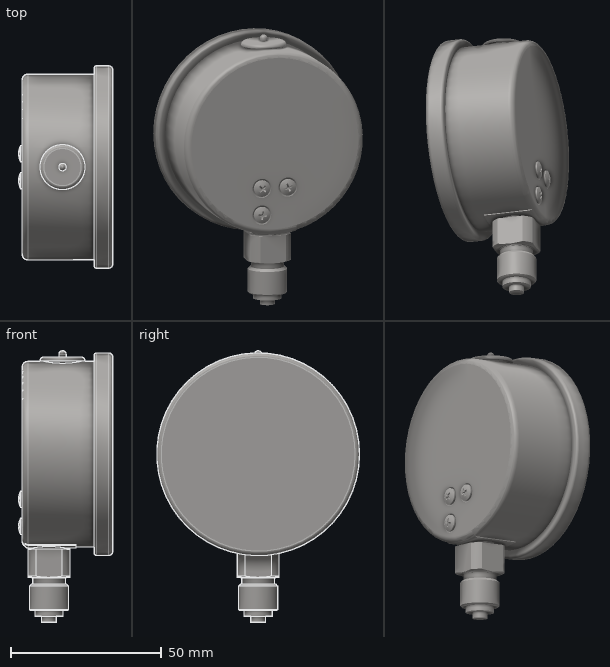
import cadquery as cq


case_radius = 62.0 / 2
back_rounding = 2.0
overall_depth = 30.3
bezel_radius = 67.6 / 2
bezel_width = 6.3
bezel_back_rounding = 0.9
bezel_front_rounding = 1.5
bezel_start = overall_depth - bezel_width

plug_x = 13.5
plug_radius = 15.0 / 2
plug_neck_radius = 13.16 / 2
plug_bottom_z = 31.0
plug_top_z = 32.45
plug_rounding = 1.3
pin_radius = 2.5 / 2
pin_tip_z = 34.5
pin_dome_height = 1.2

stem_x = 9.0
stem_neck_radius = 11.7 / 2
neck_top_z = -28.0
flats_width = 14.0
flats_corner_radius = 16.5 / 2
flats_top_z = -31.6
flats_bottom_z = -41.0
flats_chamfer_height = 0.4
shoulder_radius = 11.4 / 2
shoulder_height = 0.2
undercut_radius = 11.0 / 2
thread_radius = 13.16 / 2
thread_top_z = -43.15
thread_top_chamfer = 0.8
thread_bottom_z = -52.1
thread_bottom_chamfer = 0.4
collar_radius = 9.5 / 2
collar_bottom_z = -54.0
tip_radius = 5.0 / 2
tip_bottom_z = -56.0

saddle_thickness = 0.3
saddle_start = 0.7
saddle_end = 2 * stem_x
saddle_length = saddle_end - saddle_start
saddle_rounding = 1.4
saddle_width = 15.4

screw_pitch = 9.0
screw_y = screw_pitch / 2
screw_z = -15.0
screw_radius = 5.5 / 2
screw_seat_radius = 6.5 / 2
screw_seat_depth = 0.3
screw_height = 1.15
screw_rim_height = 0.45
cross_radius = 1.7
cross_width = 0.6
cross_depth = 1.3
screws = [
    (screw_y, screw_z, 45),
    (-screw_y, screw_z, -22),
    (screw_y, screw_z - screw_pitch, 10),
]


def x_cylinder(radius, start, length):
    """Cylinder along the case axis."""
    return cq.Workplane("YZ", origin=(start, 0, 0)).circle(radius).extrude(length)


def z_cylinder(radius, x, bottom, top):
    """Vertical cylinder centred over the case axis."""
    return cq.Workplane("XY", origin=(x, 0, bottom)).circle(radius).extrude(top - bottom)


def make_case():
    drum = x_cylinder(case_radius, 0, overall_depth).faces("<X").edges().fillet(back_rounding)
    bezel = x_cylinder(bezel_radius, bezel_start, bezel_width)
    bezel = bezel.faces("<X").edges().fillet(bezel_back_rounding)
    bezel = bezel.faces(">X").edges().fillet(bezel_front_rounding)
    return drum.union(bezel)


def make_saddle():
    """Patch of a slightly larger drum, limited to a rectangle around the stem."""
    shell = x_cylinder(case_radius + saddle_thickness, saddle_start, saddle_length)
    shell = shell.faces("<X").edges().fillet(saddle_rounding)
    patch_height = case_radius + saddle_thickness
    patch = cq.Workplane("XY").box(
        saddle_length, saddle_width, patch_height, centered=(False, True, False)
    )
    return shell.intersect(patch.translate((saddle_start, 0, -patch_height)))


def make_plug():
    neck = z_cylinder(plug_neck_radius, plug_x, 0, plug_top_z - plug_rounding)
    head = z_cylinder(plug_radius, plug_x, plug_bottom_z, plug_top_z)
    head = head.faces(">Z").edges().fillet(plug_rounding)
    pin = z_cylinder(pin_radius, plug_x, plug_bottom_z, pin_tip_z)
    pin = pin.faces(">Z").edges().fillet(pin_dome_height)
    return neck.union(head).union(pin)


def make_flats():
    """Square wrench section with turned corners, chamfered at the bottom."""
    length = flats_top_z - flats_bottom_z
    square = cq.Workplane("XY", origin=(stem_x, 0, flats_bottom_z))
    square = square.rect(flats_width, flats_width).extrude(length)
    turned = z_cylinder(flats_corner_radius, stem_x, flats_bottom_z, flats_top_z)
    turned = turned.faces("<Z").edges().chamfer(
        flats_chamfer_height, flats_corner_radius - flats_width / 2
    )
    return square.intersect(turned)


def make_stem():
    thread = (
        cq.Workplane("XZ")
        .moveTo(0, flats_bottom_z)
        .lineTo(undercut_radius, flats_bottom_z)
        .lineTo(undercut_radius, thread_top_z)
        .lineTo(thread_radius - thread_top_chamfer, thread_top_z)
        .lineTo(thread_radius, thread_top_z - thread_top_chamfer)
        .lineTo(thread_radius, thread_bottom_z + thread_bottom_chamfer)
        .lineTo(thread_radius - thread_bottom_chamfer, thread_bottom_z)
        .lineTo(collar_radius, thread_bottom_z)
        .lineTo(collar_radius, collar_bottom_z)
        .lineTo(tip_radius, collar_bottom_z)
        .lineTo(tip_radius, tip_bottom_z)
        .lineTo(0, tip_bottom_z)
        .close()
        .revolve(360, (0, 0, 0), (0, 1, 0))
        .translate((stem_x, 0, 0))
    )
    neck = z_cylinder(stem_neck_radius, stem_x, flats_top_z, neck_top_z)
    shoulder_bottom_z = flats_bottom_z - shoulder_height
    shoulder = z_cylinder(shoulder_radius, stem_x, shoulder_bottom_z, flats_bottom_z)
    return neck.union(make_flats()).union(shoulder).union(thread)


def make_screw_seat(y, z):
    """Conical recess in the back face around a screw."""
    seat = cq.Workplane("YZ", origin=(0, y, z)).circle(screw_seat_radius)
    return seat.workplane(offset=screw_seat_depth).circle(screw_radius).loft()


def make_screw(y, z, rotation):
    """Domed screw head with a cross recess that deepens towards its centre."""
    dome_height = screw_height - screw_rim_height
    sphere_radius = (screw_radius**2 + dome_height**2) / (2 * dome_height)
    head_length = screw_height + back_rounding
    head = cq.Workplane("YZ", origin=(-screw_height, 0, 0)).circle(screw_radius).extrude(head_length)
    sphere = cq.Workplane("XY").sphere(sphere_radius).translate((sphere_radius - screw_height, 0, 0))
    head = head.intersect(sphere.union(x_cylinder(screw_radius, -screw_rim_height, head_length)))
    recess_cone = cq.Workplane(
        cq.Solid.makeCone(
            cross_radius, 0, cross_depth, cq.Vector(-screw_height, 0, 0), cq.Vector(1, 0, 0)
        )
    )
    for angle in (rotation, rotation + 90):
        slot = cq.Workplane("XY").box(2 * screw_height, 2 * screw_radius, cross_width)
        slot = slot.rotate((0, 0, 0), (1, 0, 0), angle)
        head = head.cut(slot.intersect(recess_cone))
    return head.translate((0, y, z))


result = make_case().union(make_saddle()).union(make_plug()).union(make_stem())
for y, z, rotation in screws:
    result = result.cut(make_screw_seat(y, z)).union(make_screw(y, z, rotation))